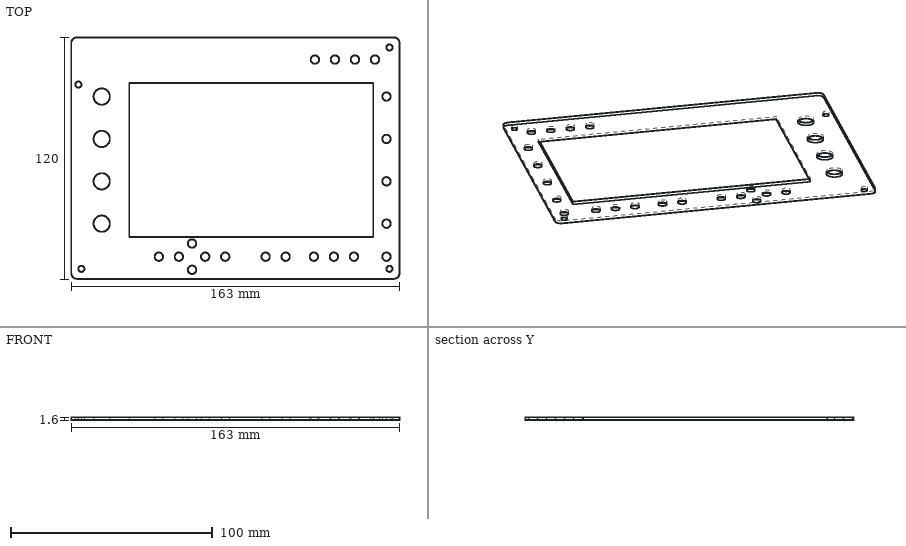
import cadquery as cq

plate_length = 163.0
plate_width = 120.0
plate_thickness = 1.6
corner_radius = 3.0

window_length = 121.0
window_width = 76.3
window_x = 7.8
window_y = -1.0

screw_diameter = 3.0
button_diameter = 4.0
knob_diameter = 8.0

screw_x = 76.5
screw_y = 55.0
edge_screw_x = -77.9
edge_screw_y = 36.5

knob_x = -66.3
side_button_x = 75.0
knob_count = 4
knob_pitch = 21.0

button_pitch = 10.0
top_row_y = 48.9
top_row_start_x = 39.5
top_row_count = 4
bottom_row_y = -top_row_y
pair_start_x = 15.0
pair_count = 2
triple_start_x = 39.0
triple_count = 3

cross_x = -21.5
cross_arm = 6.5


def row(start_x, y, count):
    """Centres of a horizontal row of buttons."""
    return [(start_x + i * button_pitch, y) for i in range(count)]


def column(x):
    """Centres of a vertical column level with the window centre."""
    middle = (knob_count - 1) / 2
    return [(x, window_y + (i - middle) * knob_pitch) for i in range(knob_count)]


def drill(body, centres, diameter):
    """Cut through holes at the given centres."""
    return body.faces(">Z").workplane(origin=(0, 0, 0)).pushPoints(centres).hole(diameter)


screws = [
    (screw_x, screw_y),
    (screw_x, -screw_y),
    (-screw_x, -screw_y),
    (edge_screw_x, edge_screw_y),
]

cross_buttons = [(cross_x, bottom_row_y + side * cross_arm) for side in (-1, 1)]
for offset in (cross_arm, cross_arm + button_pitch):
    cross_buttons += [(cross_x + side * offset, bottom_row_y) for side in (-1, 1)]

buttons = (
    row(top_row_start_x, top_row_y, top_row_count)
    + row(pair_start_x, bottom_row_y, pair_count)
    + row(triple_start_x, bottom_row_y, triple_count)
    + [(side_button_x, bottom_row_y)]
    + column(side_button_x)
    + cross_buttons
)

plate = cq.Workplane("XY").box(plate_length, plate_width, plate_thickness)
plate = plate.edges("|Z").fillet(corner_radius)

window = cq.Workplane("XY").box(window_length, window_width, 2 * plate_thickness)
plate = plate.cut(window.translate((window_x, window_y, 0)))

plate = drill(plate, screws, screw_diameter)
plate = drill(plate, buttons, button_diameter)
result = drill(plate, column(knob_x), knob_diameter)